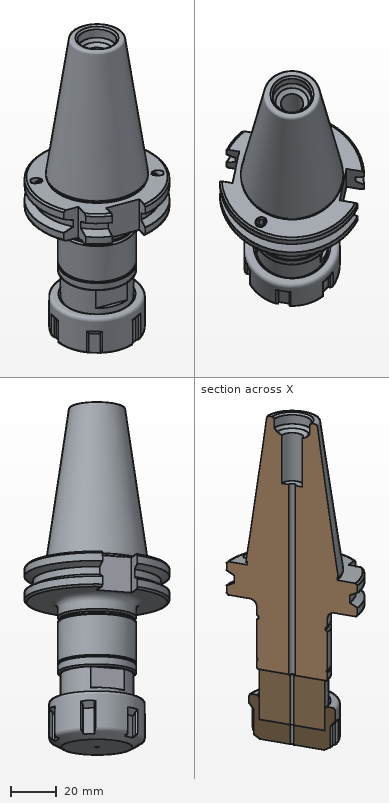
import cadquery as cq
import math

total_height = 152.4
taper_length = 68.5
gauge_z = total_height - taper_length
flange_top_z = 81.0
flange_height = 15.8
flange_bottom_z = flange_top_z - flange_height
shoulder_z = 32.6
nut_height = 20.7

taper_gauge_radius = 22.3
taper_rate = 7 / 24
taper_base_z = 83.0
taper_base_radius = taper_gauge_radius + taper_rate / 2 * (gauge_z - taper_base_z)
taper_small_radius = taper_gauge_radius - taper_rate / 2 * taper_length
taper_end_round = 1.2
relief_radius = 22.0
relief_top_z = 82.0

flange_radius = 31.78
flange_edge_chamfer = 0.9
gripper_groove_radius = 28.0
gripper_groove_z = 73.0
gripper_groove_floor = 3.4
gripper_groove_mouth = 7.0
drive_slot_width = 16.2
left_slot_floor = 22.7
right_slot_floor = 25.0
corner_notch_offset = 18.6

coolant_hole_radius = 2.3
coolant_hole_depth = 1.8
coolant_drill_radius = 1.4
coolant_drill_depth = 9.1
coolant_pitch_radius = 26.8
coolant_angles = (70.0, 250.0)
coolant_tilt = 30.0

shank_radius = 17.2
shank_fillet = 3.2
shank_edge_chamfer = 0.8
wide_groove_z = 57.0
wide_groove_mouth = 2.5
wide_groove_floor = 0.8
wide_groove_depth = 0.9
narrow_groove_z = 37.2
narrow_groove_mouth = 0.9
narrow_groove_floor = 0.2
narrow_groove_depth = 0.5

bore_mouth_radius = 9.5
pilot_radius = 8.5
pilot_depth = 5.2
seat_radius = 7.2
seat_depth = 6.7
thread_radius = 4.9
thread_start_depth = 8.0
thread_end_depth = 30.5
holder_duct_radius = 1.5
duct_radius = 0.8

spindle_radius = 16.0
flat_offset = 14.0
flat_bottom_z = 23.2
spindle_bottom_z = 9.1

nut_radius = 21.0
nut_top_round = 1.7
nut_bore_chamfer = 0.9
nut_face_radius = 15.5
nut_cone_angle = 30.0
nut_lower_round = 2.1
nut_cone_height = (nut_radius - nut_face_radius) * math.tan(math.radians(nut_cone_angle))

wrench_slot_count = 6
wrench_slot_width = 5.0
wrench_slot_mouth = 7.2
wrench_slot_floor = 18.6
wrench_slot_chamfer_start = 19.8
wrench_slot_runout = 2.9
front_slot_top = 14.5
rear_slot_top = 16.3


def revolved(profile):
    """Turn a closed (radius, z) profile about the Z axis."""
    return profile.close().revolve(360, (0, 0, 0), (0, 1, 0))


def cylinder(radius, bottom_z, top_z):
    return cq.Workplane("XY").workplane(offset=bottom_z).circle(radius).extrude(top_z - bottom_z)


def box_between(x_range, y_range, z_range):
    size = [high - low for low, high in (x_range, y_range, z_range)]
    corner = (x_range[0], y_range[0], z_range[0])
    return cq.Workplane("XY").box(*size, centered=False).translate(corner)


def ring_groove(outer_radius, floor_radius, center_z, mouth, floor):
    """Groove around a cylinder, with sides that narrow toward its floor."""
    return revolved(
        cq.Workplane("XZ").moveTo(floor_radius, center_z - floor / 2)
        .lineTo(outer_radius, center_z - mouth / 2)
        .lineTo(outer_radius, center_z + mouth / 2)
        .lineTo(floor_radius, center_z + floor / 2))


def taper_body():
    taper = revolved(
        cq.Workplane("XZ").moveTo(0, relief_top_z).lineTo(taper_base_radius, relief_top_z)
        .lineTo(taper_base_radius, taper_base_z)
        .lineTo(taper_small_radius, total_height).lineTo(0, total_height))
    taper = taper.faces(">Z").edges().fillet(taper_end_round)
    return taper.union(cylinder(relief_radius, flange_top_z, relief_top_z))


def flange_cutouts():
    """Two opposed drive slots and the square notch at the +X -Y corner."""
    z_range = (flange_bottom_z, flange_top_z)
    slot_y = (-drive_slot_width / 2, drive_slot_width / 2)
    left_slot = box_between((-flange_radius, -left_slot_floor), slot_y, z_range)
    right_slot = box_between((right_slot_floor, flange_radius), slot_y, z_range)
    notch = box_between(
        (corner_notch_offset, flange_radius), (-flange_radius, -corner_notch_offset), z_range)
    return left_slot.union(right_slot).union(notch)


def coolant_hole(angle):
    """Stepped hole in the flange top, leaning inward as it goes down."""
    tilt = math.radians(coolant_tilt)
    heading = math.radians(angle)
    start = cq.Vector(
        coolant_pitch_radius * math.cos(heading), coolant_pitch_radius * math.sin(heading), flange_top_z)
    inward = cq.Vector(
        -math.sin(tilt) * math.cos(heading), -math.sin(tilt) * math.sin(heading), -math.cos(tilt))
    lead_in = start - inward * coolant_hole_radius
    wide = cq.Solid.makeCylinder(
        coolant_hole_radius, coolant_hole_radius + coolant_hole_depth, lead_in, inward)
    drill = cq.Solid.makeCylinder(coolant_drill_radius, coolant_drill_depth, start, inward)
    return cq.Workplane(wide).union(cq.Workplane(drill))


def flange_body():
    flange = cylinder(flange_radius, flange_bottom_z, flange_top_z)
    flange = flange.faces(">Z or <Z").edges().chamfer(flange_edge_chamfer)
    gripper_groove = ring_groove(
        flange_radius, gripper_groove_radius, gripper_groove_z, gripper_groove_mouth, gripper_groove_floor)
    flange = flange.cut(gripper_groove).cut(flange_cutouts())
    for angle in coolant_angles:
        flange = flange.cut(coolant_hole(angle))
    return flange


def shank_body():
    """Cylinder under the flange, flared into it by a concave fillet."""
    diagonal = shank_fillet * math.sqrt(0.5)
    fillet_middle = (
        shank_radius + shank_fillet - diagonal, flange_bottom_z - shank_fillet + diagonal)
    shank = revolved(
        cq.Workplane("XZ").moveTo(0, shoulder_z)
        .lineTo(shank_radius - shank_edge_chamfer, shoulder_z)
        .lineTo(shank_radius, shoulder_z + shank_edge_chamfer)
        .lineTo(shank_radius, flange_bottom_z - shank_fillet)
        .threePointArc(fillet_middle, (shank_radius + shank_fillet, flange_bottom_z))
        .lineTo(0, flange_bottom_z))
    wide_groove = ring_groove(
        shank_radius, shank_radius - wide_groove_depth, wide_groove_z, wide_groove_mouth, wide_groove_floor)
    narrow_groove = ring_groove(
        shank_radius, shank_radius - narrow_groove_depth, narrow_groove_z,
        narrow_groove_mouth, narrow_groove_floor)
    return shank.cut(wide_groove).cut(narrow_groove)


def taper_bore():
    """Pilot bore, conical seats and threaded bore entered from the taper end."""
    mouth_chamfer = bore_mouth_radius - pilot_radius
    return revolved(
        cq.Workplane("XZ").moveTo(0, total_height)
        .lineTo(bore_mouth_radius, total_height)
        .lineTo(pilot_radius, total_height - mouth_chamfer)
        .lineTo(pilot_radius, total_height - pilot_depth)
        .lineTo(seat_radius, total_height - seat_depth)
        .lineTo(thread_radius, total_height - thread_start_depth)
        .lineTo(thread_radius, total_height - thread_end_depth)
        .lineTo(0, total_height - thread_end_depth))


def make_holder():
    holder = taper_body().union(flange_body()).union(shank_body())
    return holder.cut(taper_bore()).cut(cylinder(holder_duct_radius, shoulder_z, total_height))


def make_spindle():
    """Neck below the shank with two wrench flats; its lower end sits in the nut."""
    spindle = cylinder(spindle_radius, spindle_bottom_z, shoulder_z)
    across = (-spindle_radius, spindle_radius)
    flat_z = (flat_bottom_z, shoulder_z)
    spindle = spindle.cut(box_between((-spindle_radius, -flat_offset), across, flat_z))
    spindle = spindle.cut(box_between((flat_offset, spindle_radius), across, flat_z))
    return spindle.cut(cylinder(duct_radius, spindle_bottom_z, shoulder_z))


def nut_blank():
    """Nut body with a conical lower end and rounded rims."""
    blank = revolved(
        cq.Workplane("XZ").lineTo(nut_face_radius, 0).lineTo(nut_radius, nut_cone_height)
        .lineTo(nut_radius, nut_height).lineTo(0, nut_height))
    blank = blank.faces(">Z").edges().fillet(nut_top_round)
    cone_edge = cq.selectors.BoxSelector(
        (-2 * nut_radius, -2 * nut_radius, nut_cone_height - nut_lower_round / 2),
        (2 * nut_radius, 2 * nut_radius, nut_cone_height + nut_lower_round / 2))
    return blank.edges("%CIRCLE").edges(cone_edge).fillet(nut_lower_round)


def nut_recess():
    """Pocket for the spindle end, chamfered at the top, and the duct below it."""
    recess = cylinder(spindle_radius, spindle_bottom_z, nut_height)
    chamfer = revolved(
        cq.Workplane("XZ").moveTo(0, nut_height - nut_bore_chamfer)
        .lineTo(spindle_radius, nut_height - nut_bore_chamfer)
        .lineTo(spindle_radius + nut_bore_chamfer, nut_height).lineTo(0, nut_height))
    return recess.union(chamfer).union(cylinder(duct_radius, 0, spindle_bottom_z))


def wrench_slot(angle, top_z):
    """Open-bottomed slot with flared side edges and a sloped upper end."""
    half_width = wrench_slot_width / 2
    half_mouth = wrench_slot_mouth / 2
    section = (
        cq.Workplane("XY").moveTo(wrench_slot_floor, -half_width)
        .lineTo(wrench_slot_chamfer_start, -half_width)
        .lineTo(nut_radius, -half_mouth).lineTo(nut_radius + half_mouth, -half_mouth)
        .lineTo(nut_radius + half_mouth, half_mouth).lineTo(nut_radius, half_mouth)
        .lineTo(wrench_slot_chamfer_start, half_width).lineTo(wrench_slot_floor, half_width)
        .close().extrude(top_z))
    slope = (
        cq.Workplane("XZ").moveTo(wrench_slot_floor, 0)
        .lineTo(wrench_slot_floor, top_z - wrench_slot_runout)
        .lineTo(nut_radius, top_z).lineTo(nut_radius + half_mouth, top_z)
        .lineTo(nut_radius + half_mouth, 0).close().extrude(half_mouth, both=True))
    return section.intersect(slope).rotate((0, 0, 0), (0, 0, 1), angle)


def make_nut():
    nut = nut_blank().cut(nut_recess())
    pitch = 360 / wrench_slot_count
    for index in range(wrench_slot_count):
        angle = pitch / 2 + index * pitch
        top_z = rear_slot_top if angle < 180 else front_slot_top
        nut = nut.cut(wrench_slot(angle, top_z))
    return nut


holder = make_holder()
spindle = make_spindle()
nut = make_nut()
result = cq.Compound.makeCompound([holder.val(), spindle.val(), nut.val()])